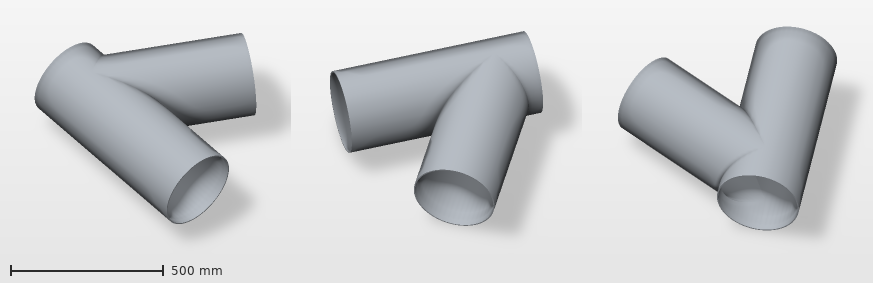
import cadquery as cq
import math

outer_diameter = 273.0
wall = 4.0
inner_diameter = outer_diameter - 2 * wall
main_length = 648.0

branch_angle = math.radians(60)
junction_x = 127.0
overall_width = 656.0

radius = outer_diameter / 2
rim_rise = radius * math.cos(branch_angle)
branch_length = (overall_width - radius - rim_rise) / math.sin(branch_angle)

branch_direction = cq.Vector(math.cos(branch_angle), math.sin(branch_angle), 0)


def main_cylinder(diameter):
    return cq.Workplane("YZ").circle(diameter / 2).extrude(main_length)


def branch_cylinder(diameter):
    """Cylinder from the axis crossing to the open end of the branch."""
    base = cq.Plane(origin=(junction_x, 0, 0), xDir=(0, 0, 1), normal=branch_direction)
    return cq.Workplane(base).circle(diameter / 2).extrude(branch_length)


def joined_pipes(diameter):
    return main_cylinder(diameter).union(branch_cylinder(diameter))


result = joined_pipes(outer_diameter).cut(joined_pipes(inner_diameter))